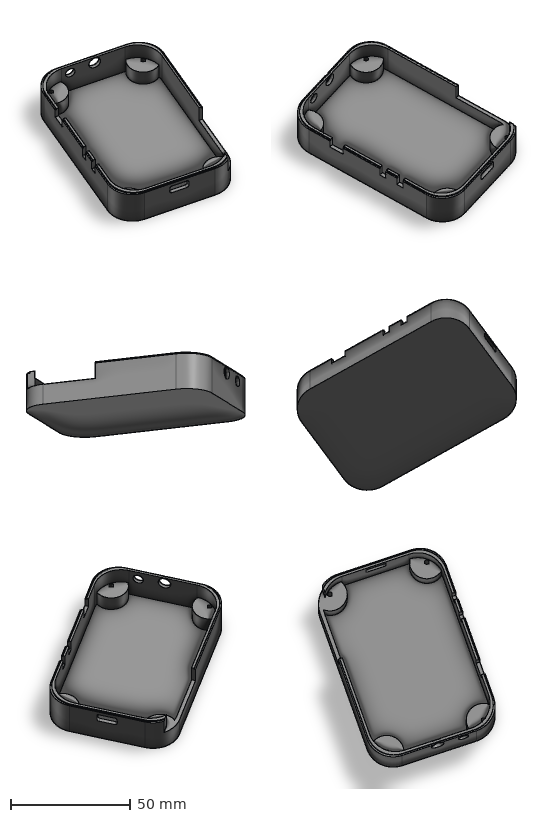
import cadquery as cq

length = 83.5
width = 56.0
height = 16.0
corner_radius = 11.5
wall = 1.7
floor_thickness = 1.75

rebate_width = 0.6
rebate_depth = 0.6

post_diameter = 14.5
post_top = 8.7
post_spacing_x = 72.8
post_spacing_y = 42.9
screw_hole_diameter = 1.9

low_wall_start_x = 6.5
low_wall_front_y = 23.9

front_notches = [
    (-19.45, 6.7, 11.5),
    (6.3, 3.0, 11.3),
    (15.1, 3.0, 11.3),
]

left_holes = [
    (5.4, 0.7, 12.9),
    (4.4, -10.8, 11.9),
]

slot_length = 8.85
slot_height = 3.8
slot_corner_radius = 1.0
slot_y = -0.25
slot_top = 13.9

clearance = 0.8


def rounded_block(inset, bottom, top):
    """Block with rounded upright corners, set in from the outer walls."""
    return (
        cq.Workplane("XY")
        .box(length - 2 * inset, width - 2 * inset, top - bottom, centered=(True, True, False))
        .edges("|Z")
        .fillet(corner_radius)
        .translate((0, 0, bottom))
    )


def box_between(x_range, y_range, z_range):
    """Box spanning the given start and end on each axis."""
    (x0, x1), (y0, y1), (z0, z1) = x_range, y_range, z_range
    return cq.Workplane("XY").box(x1 - x0, y1 - y0, z1 - z0, centered=False).translate((x0, y0, z0))


def post_cylinders(diameter):
    """Upright cylinders at the four post centres, from the floor to the post tops."""
    return (
        cq.Workplane("XY", origin=(0, 0, floor_thickness))
        .rect(post_spacing_x, post_spacing_y, forConstruction=True)
        .vertices()
        .circle(diameter / 2)
        .extrude(post_top - floor_thickness)
    )


def end_wall_plane(x, y, z):
    """Workplane facing +X, with its origin at the given point."""
    return cq.Workplane("YZ", origin=(x, y, z))


rebate_bottom = height - rebate_depth
body = rounded_block(0, 0, rebate_bottom)
rim = rounded_block(rebate_width, floor_thickness, height)
cavity = rounded_block(wall, floor_thickness, height)
tray = body.union(rim).cut(cavity)

posts = post_cylinders(post_diameter).intersect(cavity)
tray = tray.union(posts).cut(post_cylinders(screw_hole_diameter))

tray = tray.cut(
    box_between(
        (low_wall_start_x, length / 2 + clearance),
        (low_wall_front_y, width / 2 + clearance),
        (post_top, height + clearance),
    )
)

front_y = -width / 2
for left_x, notch_width, notch_bottom in front_notches:
    tray = tray.cut(
        box_between(
            (left_x, left_x + notch_width),
            (front_y - clearance, front_y + wall + clearance),
            (notch_bottom, height + clearance),
        )
    )

cut_depth = wall + 2 * clearance
for diameter, hole_y, hole_z in left_holes:
    hole_plane = end_wall_plane(-length / 2 - clearance, hole_y, hole_z)
    tray = tray.cut(hole_plane.circle(diameter / 2).extrude(cut_depth))

slot_plane = end_wall_plane(length / 2 - wall - clearance, slot_y, slot_top - slot_height / 2)
slot = slot_plane.rect(slot_length, slot_height).extrude(cut_depth).edges("|X").fillet(slot_corner_radius)
tray = tray.cut(slot)

result = tray